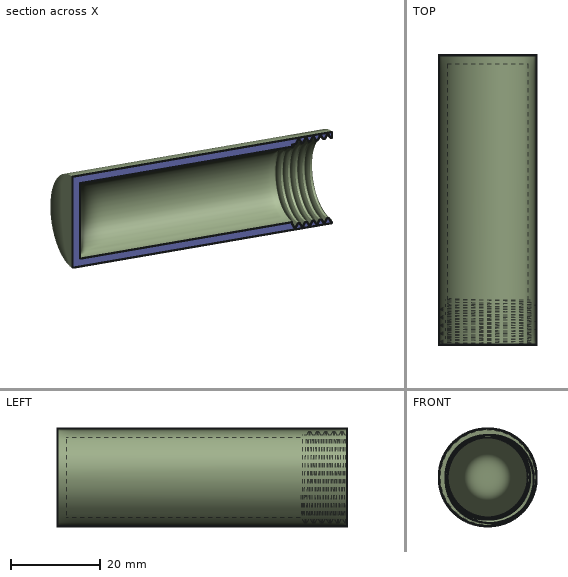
import cadquery as cq
import math

outer_diameter = 22.0
length = 65.0

bore_diameter = 18.0
end_wall = 2.0

mouth_depth = 10.0
thread_crest_diameter = 19.0
thread_pitch = 25.4 / 14
thread_depth = 1.162
thread_flank_angle = 30.0
thread_start_angle = 40.0
thread_end_gap = 0.35

groove_overlap = 0.05


def cylinder(diameter, height):
    """Solid cylinder on the working Z axis, standing on the open end plane."""
    return cq.Workplane("XY").circle(diameter / 2).extrude(height)


def thread_groove():
    """V groove swept along a right-hand helix, starting one pitch outside the open end."""
    crest_radius = thread_crest_diameter / 2
    inner_radius = crest_radius - groove_overlap
    root_radius = crest_radius + thread_depth
    half_width = (root_radius - inner_radius) * math.tan(math.radians(thread_flank_angle))

    helix_height = thread_pitch + mouth_depth - thread_end_gap
    helix = cq.Wire.makeHelix(thread_pitch, helix_height, crest_radius)
    profile = cq.Workplane("XZ").polyline(
        [(inner_radius, -half_width), (root_radius, 0), (inner_radius, half_width)]
    ).close()
    groove = profile.sweep(cq.Workplane(helix), isFrenet=True)
    return groove.translate((0, 0, -thread_pitch)).rotate((0, 0, 0), (0, 0, 1), thread_start_angle)


body = cylinder(outer_diameter, length)
body = body.cut(cylinder(bore_diameter, length - end_wall))
body = body.cut(cylinder(thread_crest_diameter, mouth_depth))
body = body.cut(thread_groove())

result = body.rotate((0, 0, 0), (1, 0, 0), -90)